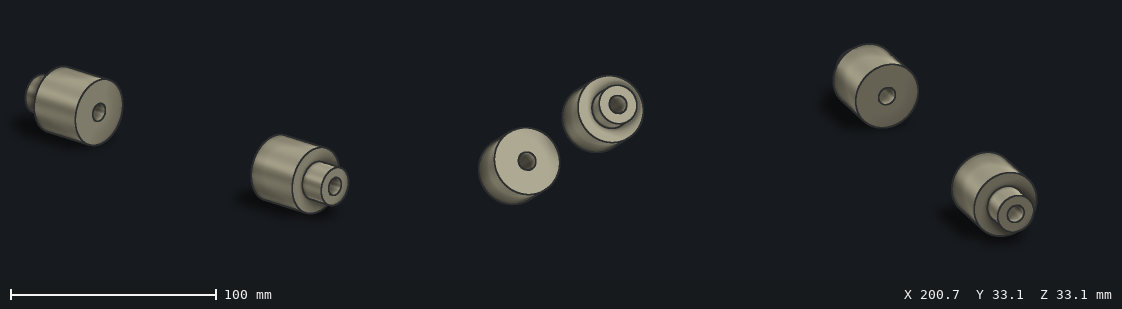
import cadquery as cq

overall_length = 200.7
barrel_diameter = 33.1
barrel_length = 27.9
spigot_diameter = 19.0
spigot_length = 12.8
bore_diameter = 8.8

bushing_length = barrel_length + spigot_length
half_length = overall_length / 2


def stepped_bushing(side):
    """Bored bushing along X, its spigot pointing outward; side is -1 for the -X end, +1 for the +X end."""
    outer_end = cq.Plane(origin=(side * half_length, 0, 0), xDir=(0, 1, 0), normal=(-side, 0, 0))
    spigot = cq.Workplane(outer_end).circle(spigot_diameter / 2).extrude(spigot_length)
    barrel = (
        cq.Workplane(outer_end)
        .workplane(offset=spigot_length)
        .circle(barrel_diameter / 2)
        .extrude(barrel_length)
    )
    bore = cq.Workplane(outer_end).circle(bore_diameter / 2).extrude(bushing_length)
    return spigot.union(barrel).cut(bore)


bushings = [stepped_bushing(side) for side in (-1, 1)]

result = cq.Compound.makeCompound([bushing.val() for bushing in bushings])